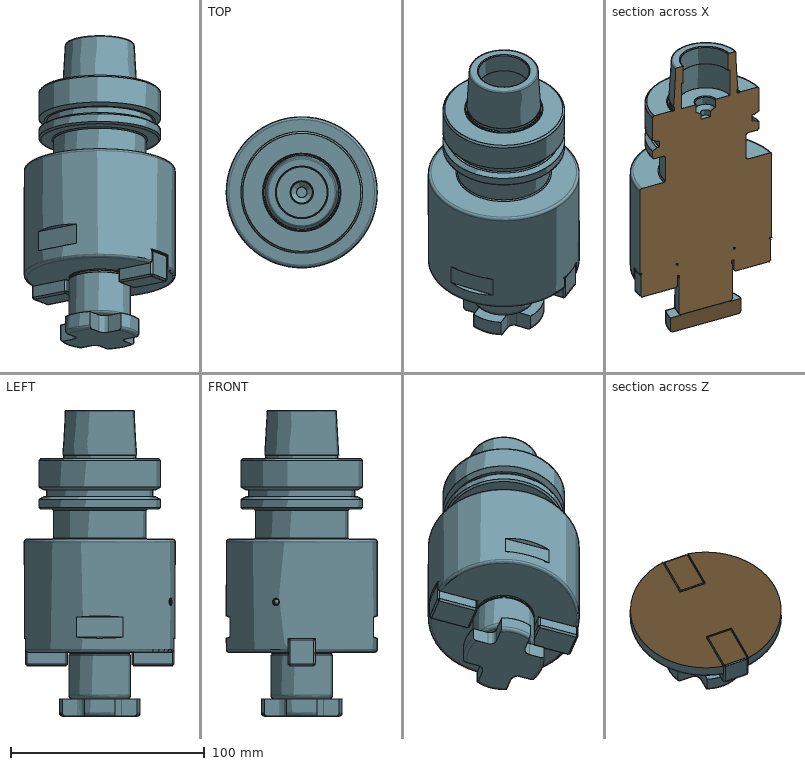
import cadquery as cq
import math


total_height = 158
head_height = 9.0
body_bottom = 33.0
body_top = 91.5
flange_bottom = 107.0
flange_top = 133.0
taper_bottom = 135.1

body_radius = 39.0
stem_radius = 16.0
shaft_radius = 24.0
flange_radius = 31.5
taper_top_radius = 17.9
taper_bottom_radius = 19.1

body_edge = 1.5
stem_edge = 1.9
stem_relief_depth = 0.5
stem_relief_height = 1.5
shaft_chamfer = 0.6
flange_chamfer = 1.0
taper_rim = 0.6
taper_relief_depth = 0.5
face_relief_radius = 20.2
face_relief_depth = 0.5

groove_bottom = 113.5
groove_top = 116.9
groove_radius = 27.5
flank_radius = 28.8
flank_height = 1.5

bore_radius = 13.1
bore_rim = 0.5
bore_straight = 10.3
undercut_radius = 14.2
bore_depth = 25.3
drill_radius = 5.5
drill_rim = 0.5
drill_depth = 4.7
drill_half_angle = math.radians(60)
pilot_radius = 2.7
pilot_depth = 3.2

flat_distance = 37.1
flat_bottom = 41.0
flat_top = 51.2
flat_flare = 0.6

ball_radius = 1.5
ball_recess = 0.2
ball_height = 59.1
ball_angle = 250
hole_mouth_radius = 1.9
hole_mouth_depth = 0.5

key_width = 14.0
key_bottom = 26.0
key_top = 40.3
key_inner = 16.6
key_outer = 38.4
key_chamfer = 1.0
key_angles = (0, 180)

head_radius = 20.9
head_edge = 1.7
wing_width = 15.6
wing_fillet = 3.5


def revolve_about_z(profile):
    """Turn a closed (radius, height) profile about the Z axis."""
    return profile.close().revolve(360, (0, 0, 0), (0, 1, 0))


def round_outer_corner(profile, radius, start, end):
    """Draw a convex quarter arc between two (radius, height) points around an outer rim."""
    corner_r = max(start[0], end[0])
    axis_r = min(start[0], end[0])
    centre_z = start[1] if start[0] == corner_r else end[1]
    rim_z = end[1] if start[0] == corner_r else start[1]
    reach = radius * math.sqrt(0.5)
    middle = (axis_r + reach, centre_z + math.copysign(reach, rim_z - centre_z))
    return profile.lineTo(*start).threePointArc(middle, end)


def make_turned_blank():
    """Solid of revolution with stem, body, shaft, grooved flange and taper."""
    relief_bottom = body_bottom - stem_relief_height
    relief_radius = stem_radius - stem_relief_depth
    taper_relief_radius = taper_bottom_radius - taper_relief_depth
    recess_floor = flange_top - face_relief_depth

    profile = cq.Workplane("XZ").moveTo(0, head_height)
    profile = round_outer_corner(profile, stem_edge,
                                 (stem_radius - stem_edge, head_height),
                                 (stem_radius, head_height + stem_edge))
    profile = (
        profile
        .lineTo(stem_radius, relief_bottom)
        .lineTo(relief_radius, relief_bottom)
        .lineTo(relief_radius, body_bottom - stem_relief_depth)
        .lineTo(stem_radius, body_bottom)
    )
    profile = round_outer_corner(profile, body_edge,
                                 (body_radius - body_edge, body_bottom),
                                 (body_radius, body_bottom + body_edge))
    profile = round_outer_corner(profile, body_edge,
                                 (body_radius, body_top - body_edge),
                                 (body_radius - body_edge, body_top))
    profile = (
        profile
        .lineTo(shaft_radius + shaft_chamfer, body_top)
        .lineTo(shaft_radius, body_top + shaft_chamfer)
        .lineTo(shaft_radius, flange_bottom - shaft_chamfer)
        .lineTo(shaft_radius + shaft_chamfer, flange_bottom)
        .lineTo(flange_radius - flange_chamfer, flange_bottom)
        .lineTo(flange_radius, flange_bottom + flange_chamfer)
        .lineTo(flange_radius, groove_bottom - flank_height)
        .lineTo(flank_radius, groove_bottom)
        .lineTo(groove_radius, groove_bottom)
        .lineTo(groove_radius, groove_top)
        .lineTo(flank_radius, groove_top)
        .lineTo(flange_radius, groove_top + flank_height)
        .lineTo(flange_radius, flange_top - flange_chamfer)
        .lineTo(flange_radius - flange_chamfer, flange_top)
        .lineTo(face_relief_radius, flange_top)
        .lineTo(face_relief_radius - face_relief_depth, recess_floor)
        .lineTo(taper_bottom_radius, recess_floor)
        .lineTo(taper_relief_radius, recess_floor + taper_relief_depth)
        .lineTo(taper_relief_radius, taper_bottom - taper_relief_depth)
        .lineTo(taper_bottom_radius, taper_bottom)
    )
    profile = round_outer_corner(profile, taper_rim,
                                 (taper_top_radius, total_height - taper_rim),
                                 (taper_top_radius - taper_rim, total_height))
    return revolve_about_z(profile.lineTo(0, total_height))


def make_bore():
    """Undercut clamping bore, with a drilled hole and a pilot hole in its floor."""
    undercut_start = total_height - bore_straight
    floor = total_height - bore_depth
    drill_end = floor - drill_depth
    cone_end = drill_end - (drill_radius - pilot_radius) / math.tan(drill_half_angle)
    pilot_end = cone_end - pilot_depth
    return revolve_about_z(
        cq.Workplane("XZ")
        .moveTo(0, total_height)
        .lineTo(bore_radius + bore_rim, total_height)
        .lineTo(bore_radius, total_height - bore_rim)
        .lineTo(bore_radius, undercut_start)
        .lineTo(undercut_radius, undercut_start)
        .lineTo(undercut_radius, floor)
        .lineTo(drill_radius + drill_rim, floor)
        .lineTo(drill_radius, floor - drill_rim)
        .lineTo(drill_radius, drill_end)
        .lineTo(pilot_radius, cone_end)
        .lineTo(pilot_radius, pilot_end)
        .lineTo(0, pilot_end)
    )


def make_flat_cutter(side):
    """Pocket on the -X or +X side whose upper and lower walls flare out from the flat."""
    inner = side * flat_distance
    outer = side * body_radius
    half_width = body_radius
    return (
        cq.Workplane("XZ")
        .moveTo(inner, flat_bottom)
        .lineTo(inner, flat_top)
        .lineTo(outer, flat_top + flat_flare)
        .lineTo(outer, flat_bottom - flat_flare)
        .close()
        .extrude(half_width, both=True)
    )


def make_key_block(angle, length):
    """Plain block of key section that starts at the inner end of the key."""
    return (
        cq.Workplane("XY", origin=(0, key_inner, key_bottom))
        .box(key_width, length, key_top - key_bottom, centered=(True, False, False))
        .rotate((0, 0, 0), (0, 0, 1), angle)
    )


def place_on_ball_axis(shape):
    """Move a shape built along +X to the height and direction of the ball hole."""
    return shape.translate((0, 0, ball_height)).rotate((0, 0, 0), (0, 0, 1), ball_angle)


def make_ball_hole():
    """Radial blind hole with a chamfered mouth, as deep as the ball needs."""
    hole_end = body_radius - ball_recess - 2 * ball_radius
    mouth_end = body_radius - hole_mouth_depth
    mouth_start = body_radius + ball_radius
    hole = (
        cq.Workplane("XY")
        .moveTo(hole_end, 0)
        .lineTo(hole_end, ball_radius)
        .lineTo(mouth_end, ball_radius)
        .lineTo(body_radius, hole_mouth_radius)
        .lineTo(mouth_start, hole_mouth_radius)
        .lineTo(mouth_start, 0)
        .close()
        .revolve(360, (0, 0, 0), (1, 0, 0))
    )
    return place_on_ball_axis(hole)


def make_holder():
    """Turned holder with its bore, flats, ball hole and fixed keys."""
    holder = make_turned_blank().cut(make_bore()).cut(make_ball_hole())
    for side in (-1, 1):
        holder = holder.cut(make_flat_cutter(side))
    for angle in key_angles:
        slot = make_key_block(angle, body_radius)
        key = make_key_block(angle, key_outer - key_inner).edges().chamfer(key_chamfer)
        holder = holder.cut(slot).union(key)
    return holder


def make_ball():
    """Sealing ball in the radial hole."""
    centre = body_radius - ball_recess - ball_radius
    return place_on_ball_axis(cq.Workplane("XY").sphere(ball_radius).translate((centre, 0, 0)))


def make_screw():
    """Clamping screw head: a disc trimmed to four wings with rounded inner corners."""
    disc = (
        cq.Workplane("XY")
        .circle(head_radius)
        .extrude(head_height)
        .faces("<Z")
        .edges()
        .fillet(head_edge)
    )
    span = 2 * head_radius + wing_width
    wing_pair = cq.Workplane("XY").rect(span, wing_width).extrude(head_height)
    crossing_pair = cq.Workplane("XY").rect(wing_width, span).extrude(head_height)
    inner_corners = cq.selectors.BoxSelector(
        (-wing_width, -wing_width, 0), (wing_width, wing_width, head_height))
    cross = wing_pair.union(crossing_pair).edges("|Z").edges(inner_corners).fillet(wing_fillet)
    return disc.intersect(cross)


holder = make_holder()
screw = make_screw()
ball = make_ball()

result = cq.Compound.makeCompound([holder.val(), screw.val(), ball.val()])